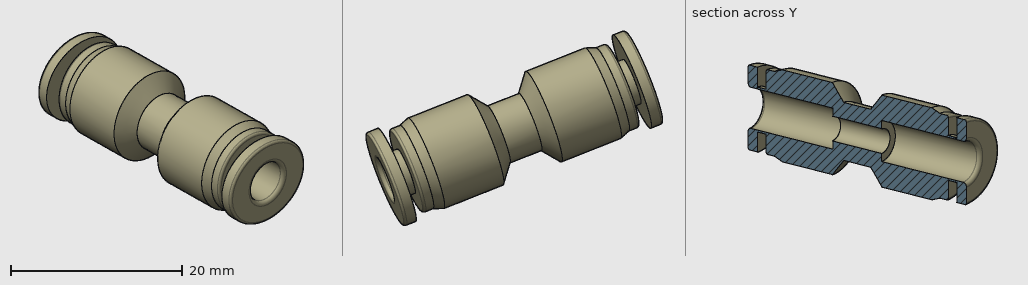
import cadquery as cq

total_length = 32.8
half_length = total_length / 2

flange_width = 11.9
lip_diameter = 10.5
flange_height = lip_diameter
flange_thickness = 1.5
flange_edge_radius = 0.3

sleeve_diameter = 5.6

barrel_diameter = 11.4
neck_diameter = 7.2
lip_edge_radius = 0.3
body_start = 2.7
taper_start = 4.0
barrel_start = 5.2
barrel_end = 12.7
cone_end = 14.4

tube_bore_diameter = 5.0
tube_bore_depth = barrel_end
tube_mouth_radius = 0.5
through_bore_diameter = 3.0


def cylinder_along_x(diameter, start, length):
    return cq.Workplane("YZ").workplane(offset=start).circle(diameter / 2).extrude(length)


def make_half_body():
    """Solid of revolution from the open end of the body to the middle of the neck."""
    lip_radius = lip_diameter / 2
    barrel_radius = barrel_diameter / 2
    neck_radius = neck_diameter / 2
    body = (
        cq.Workplane("XY")
        .moveTo(body_start - half_length, 0)
        .lineTo(body_start - half_length, lip_radius)
        .lineTo(taper_start - half_length, lip_radius)
        .lineTo(barrel_start - half_length, barrel_radius)
        .lineTo(barrel_end - half_length, barrel_radius)
        .lineTo(cone_end - half_length, neck_radius)
        .lineTo(0, neck_radius)
        .lineTo(0, 0)
        .close()
        .revolve(360, (0, 0, 0), (1, 0, 0))
    )
    return body.faces("<X").edges().fillet(lip_edge_radius)


def make_flange():
    """Elliptical plate with its outer edge rounded."""
    flange = (
        cq.Workplane("YZ")
        .workplane(offset=-half_length)
        .ellipse(flange_width / 2, flange_height / 2)
        .extrude(flange_thickness)
    )
    return flange.faces("<X").edges().fillet(flange_edge_radius)


def make_half():
    """Left half of the connector with its tube bore and rounded mouth."""
    sleeve_length = body_start - flange_thickness
    sleeve = cylinder_along_x(sleeve_diameter, flange_thickness - half_length, sleeve_length)
    half = make_half_body().union(sleeve).union(make_flange())
    half = half.cut(cylinder_along_x(tube_bore_diameter, -half_length, tube_bore_depth))
    half = half.cut(cylinder_along_x(through_bore_diameter, -half_length, half_length))
    mouth_edge = half.faces("<X").edges(cq.selectors.RadiusNthSelector(0))
    return mouth_edge.fillet(tube_mouth_radius)


left_half = make_half()
result = left_half.union(left_half.mirror("YZ")).clean()